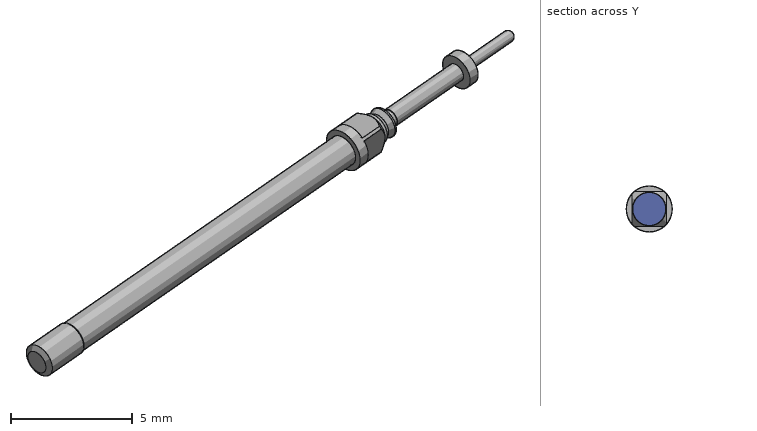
import cadquery as cq

TOTAL_LENGTH = 28.7
SLEEVE_END = 2.07
COLLAR_START = 18.5
COLLAR_END = 19.0
LEAD_IN_START = 20.03
LEAD_IN_END = 20.3
GROOVE_START = 20.43
GROOVE_BOTTOM = 20.64
RING_START = 20.9
RING_END = 20.98
STEM_START = 21.35
FLANGE_START = 25.35
FLANGE_END = 25.83

SLEEVE_DIAMETER = 1.45
BARREL_DIAMETER = 1.38
COLLAR_DIAMETER = 1.9
RING_DIAMETER = 1.38
GROOVE_DIAMETER = 1.15
NECK_ROOT_DIAMETER = 0.83
NECK_TIP_DIAMETER = 0.75
STEM_DIAMETER = 0.8
FLANGE_DIAMETER = 1.55
PIN_DIAMETER = 0.52

ACROSS_FLATS = 1.44
SLEEVE_TAPER_LENGTH = 0.15
SLEEVE_FACE_DIAMETER = 1.0
PIN_TIP_ROUND = 0.23


def disc(start, end, diameter):
    """Cylinder on the part axis between two stations."""
    return cq.Workplane("XZ", origin=(0, start, 0)).circle(diameter / 2).extrude(start - end)


def cone(start, end, start_diameter, end_diameter):
    """Truncated cone on the part axis between two stations."""
    profile = [(0, start), (start_diameter / 2, start), (end_diameter / 2, end), (0, end)]
    return cq.Workplane("XY").polyline(profile).close().revolve(360, (0, 0, 0), (0, 1, 0))


def square_section():
    """Square shank whose corners follow the collar and taper at the pin end."""
    length = LEAD_IN_END - COLLAR_END
    envelope = disc(COLLAR_END, LEAD_IN_START, COLLAR_DIAMETER).union(
        cone(LEAD_IN_START, LEAD_IN_END, COLLAR_DIAMETER, RING_DIAMETER)
    )
    block = cq.Workplane("XY").box(ACROSS_FLATS, length, ACROSS_FLATS)
    return block.translate((0, COLLAR_END + length / 2, 0)).intersect(envelope)


def pin():
    """Slender pin with a rounded tip."""
    return disc(FLANGE_END, TOTAL_LENGTH, PIN_DIAMETER).faces(">Y").edges().fillet(PIN_TIP_ROUND)


sections = [
    disc(SLEEVE_TAPER_LENGTH, SLEEVE_END, SLEEVE_DIAMETER),
    disc(SLEEVE_END, COLLAR_START, BARREL_DIAMETER),
    disc(COLLAR_START, COLLAR_END, COLLAR_DIAMETER),
    square_section(),
    disc(LEAD_IN_END, GROOVE_START, RING_DIAMETER),
    cone(GROOVE_START, GROOVE_BOTTOM, RING_DIAMETER, GROOVE_DIAMETER),
    cone(GROOVE_BOTTOM, RING_START, GROOVE_DIAMETER, RING_DIAMETER),
    disc(RING_START, RING_END, RING_DIAMETER),
    cone(RING_END, STEM_START, NECK_ROOT_DIAMETER, NECK_TIP_DIAMETER),
    disc(STEM_START, FLANGE_START, STEM_DIAMETER),
    disc(FLANGE_START, FLANGE_END, FLANGE_DIAMETER),
    pin(),
]

result = cone(0, SLEEVE_TAPER_LENGTH, SLEEVE_FACE_DIAMETER, SLEEVE_DIAMETER)
for section in sections:
    result = result.union(section)